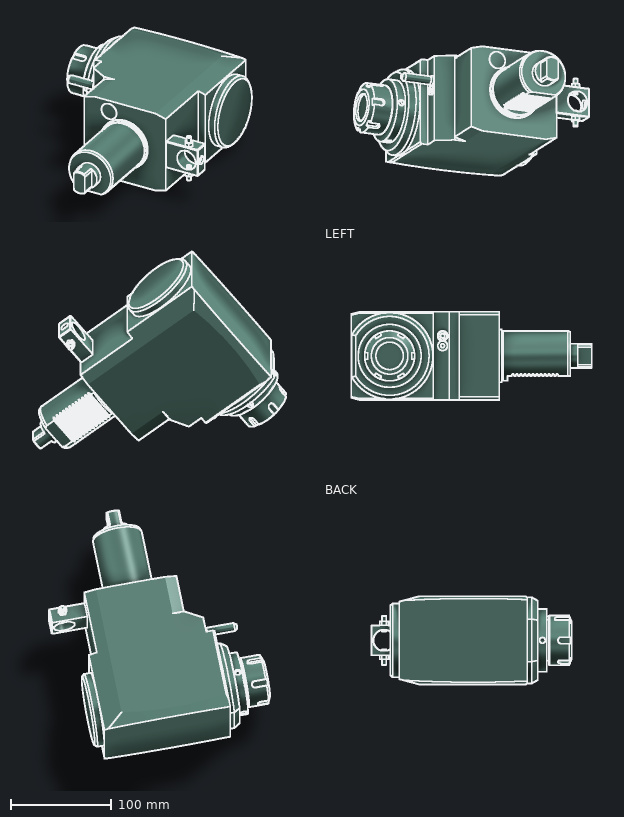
import cadquery as cq
import math


BODY_HEIGHT = 88.0
BODY_HALF_HEIGHT = BODY_HEIGHT / 2
BODY_BACK = 147.8
BODY_HALF_WIDTH = 46.8
HEAD_LEFT = -72.7
HEAD_RIGHT = 55.0
HEAD_START = 65.8
SHOULDER_LEFT = -64.3
SHOULDER_START = 50.2
FOOT_DEPTH = 40.0
BEVEL_ANGLE = math.radians(15)
BEVEL_WIDTH = 11.8
HEAD_EDGE_CHAMFER = 1.7
BACK_CONE_CENTER_X = -19.0
BACK_CONE_RADIUS = 312.0
BACK_CONE_MARGIN = 8.6
PLUG_X = -18.2
PLUG_Z = 31.7
PLUG_RADIUS = 8.6
PLUG_DEPTH = 0.2

SPINDLE_Y = 109.5
FLANGE_RADIUS = 43.2
FLANGE_LENGTH = 10.5
FLANGE_BEVEL_LENGTH = 6.2
FLANGE_BEVEL_DEPTH = 3.8
FLANGE_BACK_GAP = 0.7
RING_RADIUS = 31.5
RING_LENGTH = 9.0
RING_HOLE_RADIUS = 3.0
RING_HOLE_DEPTH = 4.8
RING_HOLE_TIP = 1.7
RING_HOLE_COUNT = 4
NECK_RADIUS = 20.5
NUT_RADIUS = 25.0
NUT_FACE_RADIUS = 18.2
NUT_FACE_X = -117.0
NUT_BACK_X = -93.8
NUT_FRONT_BEVEL = 3.0
NUT_BACK_CHAMFER = 1.0
COLLET_RADIUS = 13.7
COLLET_DEPTH = 2.5
NUT_SLOT_WIDTH = 6.5
NUT_SLOT_FLOOR = 21.8
NUT_SLOT_LONG = 17.3
NUT_SLOT_SHORT = 14.0
NUT_SLOT_COUNT = 6
HUB_RADIUS = 37.0
HUB_LENGTH = 9.0
HUB_CHAMFER = 2.5

COLLAR_RADIUS = 26.5
COLLAR_LENGTH = 2.5
RELIEF_RADIUS = 24.5
RELIEF_END = 3.5
SHANK_RADIUS = 25.0
SHANK_END = 70.8
SHANK_CHAMFER = 1.0
SHANK_CHAMFER_LENGTH = 3.0
FLAT_START = 8.2
FLAT_OFFSET = 20.2
TOOTH_PITCH = 12 / 3
TOOTH_COUNT = 12
FIRST_TOOTH = 13.5
TOOTH_MOUTH = 2.6
TOOTH_FLOOR = 1.08
TOOTH_DEPTH = 2.0
STUB_RADIUS = 12.2
STUB_END = 78.0
TANG_HALF_WIDTH = 6.5
TANG_END = 92.2
TANG_CHAMFER = 0.7
TANG_FLAT_HALF_HEIGHT = 8.6
TANG_BREAK_HALF_WIDTH = 5.3

PIN_Y = 56.6
PIN_Z = 20.0
PIN_DIAMETER = 8.5
PIN_RADIUS = PIN_DIAMETER / 2
PIN_LENGTH = 33.0
PIN_TIP_LENGTH = 3.0
PIN_TIP_RADIUS = 2.2
PIN_BASE_RADIUS = 5.0
PIN_BASE_LENGTH = 2.5
SCREW_Z = 10.0
SCREW_RADIUS = 4.8
SCREW_HEIGHT = 1.0
SCREW_SOCKET_RADIUS = 2.0

BRACKET_END = 83.0
BRACKET_FRONT = 0.7
BRACKET_BACK = 15.8
BRACKET_HEIGHT = 30.0
BRACKET_HALF_HEIGHT = BRACKET_HEIGHT / 2
BRACKET_CHAMFER = 0.7
BRACKET_HOLE_X = 70.0
BRACKET_HOLE_RADIUS = 10.5
SIDE_HOLE_RADIUS = 4.3
STUD_Y = 5.8
STUD_RADIUS = 2.28
STUD_INNER_Z = 8.6
STUD_OUTER_Z = 24.7
STUD_CHAMFER = 0.5
STUD_NUT_WIDTH = 9.0
STUD_NUT_HEIGHT = 3.8


def turned(origin, axis, stations):
    """Solid of revolution from (distance along axis, radius) stations."""
    plane = cq.Plane(origin=origin, xDir=axis, normal=(0, 0, 1))
    points = list(stations)
    if points[0][1] > 0:
        points.insert(0, (points[0][0], 0))
    points.append((points[-1][0], 0))
    outline = cq.Workplane(plane).polyline(points).close()
    return outline.revolve(360, (0, 0, 0), (1, 0, 0))


def box(x0, x1, y0, y1, z0, z1):
    """Axis-aligned box between two corners."""
    return cq.Workplane("XY").box(x1 - x0, y1 - y0, z1 - z0, centered=False).translate((x0, y0, z0))


def beveled_band(x0, x1, y0, y1, bevel_left=False):
    """Block along Y whose top and bottom slope down on the right and optionally on the left."""
    drop = BEVEL_WIDTH * math.tan(BEVEL_ANGLE)
    run_out = (x1 - BODY_HALF_WIDTH + BEVEL_WIDTH) * math.tan(BEVEL_ANGLE)
    half = BODY_HALF_HEIGHT
    top = [(x0, half)]
    if bevel_left:
        top = [(x0, half - drop), (x0 + BEVEL_WIDTH, half)]
    top += [(BODY_HALF_WIDTH - BEVEL_WIDTH, half), (x1, half - run_out)]
    bottom = [(x, -z) for x, z in reversed(top)]
    section = cq.Workplane("XZ").polyline(top + bottom).close()
    return section.extrude(-(y1 - y0)).translate((0, y0, 0))


def make_body():
    foot = beveled_band(-BODY_HALF_WIDTH, BODY_HALF_WIDTH, 0, FOOT_DEPTH, bevel_left=True)
    middle = beveled_band(SHOULDER_LEFT, BODY_HALF_WIDTH, FOOT_DEPTH, HEAD_START)
    shoulder_cut = (
        cq.Workplane("XY")
        .polyline([
            (SHOULDER_LEFT, FOOT_DEPTH),
            (-BODY_HALF_WIDTH, FOOT_DEPTH),
            (SHOULDER_LEFT, SHOULDER_START),
        ])
        .close()
        .extrude(BODY_HALF_HEIGHT, both=True)
    )
    head = beveled_band(HEAD_LEFT, HEAD_RIGHT, HEAD_START, BODY_BACK)
    head = head.faces("<X").edges("|Y").chamfer(HEAD_EDGE_CHAMFER)

    cone_base = BACK_CONE_RADIUS + BODY_HALF_HEIGHT / math.tan(BEVEL_ANGLE)
    center_y = BODY_BACK - BACK_CONE_MARGIN - BACK_CONE_RADIUS
    double_cone = (
        cq.Workplane("XZ")
        .polyline([
            (0, BODY_HALF_HEIGHT),
            (BACK_CONE_RADIUS, BODY_HALF_HEIGHT),
            (cone_base, 0),
            (BACK_CONE_RADIUS, -BODY_HALF_HEIGHT),
            (0, -BODY_HALF_HEIGHT),
        ])
        .close()
        .revolve(360, (0, 0, 0), (0, 1, 0))
        .translate((BACK_CONE_CENTER_X, center_y, 0))
    )
    plug_recess = turned((PLUG_X, 0, PLUG_Z), (0, 1, 0), [(0, PLUG_RADIUS), (PLUG_DEPTH, PLUG_RADIUS)])
    return foot.union(middle.cut(shoulder_cut)).union(head.intersect(double_cone)).cut(plug_recess)


def make_flange():
    """Round flange with a flat towards the back, beveled all around its outer rim."""
    rim_x = HEAD_LEFT - FLANGE_LENGTH + FLANGE_BEVEL_LENGTH
    flange = turned(
        (0, SPINDLE_Y, 0),
        (1, 0, 0),
        [
            (HEAD_LEFT - FLANGE_LENGTH, FLANGE_RADIUS - FLANGE_BEVEL_DEPTH),
            (rim_x, FLANGE_RADIUS),
            (HEAD_LEFT, FLANGE_RADIUS),
        ],
    )
    flat_y = BODY_BACK - FLANGE_BACK_GAP
    keep = (
        cq.Workplane("XY")
        .polyline([
            (HEAD_LEFT - FLANGE_LENGTH, flat_y - FLANGE_BEVEL_DEPTH),
            (rim_x, flat_y),
            (HEAD_LEFT, flat_y),
            (HEAD_LEFT, SPINDLE_Y - FLANGE_RADIUS),
            (HEAD_LEFT - FLANGE_LENGTH, SPINDLE_Y - FLANGE_RADIUS),
        ])
        .close()
        .extrude(FLANGE_RADIUS, both=True)
    )
    return flange.intersect(keep)


def make_ring():
    back = HEAD_LEFT - FLANGE_LENGTH
    front = back - RING_LENGTH
    ring = turned((0, SPINDLE_Y, 0), (1, 0, 0), [(front, RING_RADIUS), (back, RING_RADIUS)])
    hole = turned(
        ((front + back) / 2, SPINDLE_Y, 0),
        (0, 1, 0),
        [
            (RING_RADIUS - RING_HOLE_DEPTH - RING_HOLE_TIP, 0),
            (RING_RADIUS - RING_HOLE_DEPTH, RING_HOLE_RADIUS),
            (RING_RADIUS, RING_HOLE_RADIUS),
        ],
    )
    for i in range(RING_HOLE_COUNT):
        angle = i * 360 / RING_HOLE_COUNT
        ring = ring.cut(hole.rotate((0, SPINDLE_Y, 0), (1, SPINDLE_Y, 0), angle))
    return ring


def nut_slot(length):
    """Cutter for a flat-floored slot with a round end, on the +Y side of the nut."""
    half = NUT_SLOT_WIDTH / 2
    end_x = NUT_FACE_X + length
    return (
        cq.Workplane("XZ")
        .moveTo(NUT_FACE_X, -half)
        .lineTo(end_x - half, -half)
        .threePointArc((end_x, 0), (end_x - half, half))
        .lineTo(NUT_FACE_X, half)
        .close()
        .extrude(-NUT_RADIUS)
        .translate((0, SPINDLE_Y + NUT_SLOT_FLOOR, 0))
    )


def make_nut():
    nut = turned(
        (0, SPINDLE_Y, 0),
        (1, 0, 0),
        [
            (NUT_FACE_X, NUT_FACE_RADIUS),
            (NUT_FACE_X + NUT_FRONT_BEVEL, NUT_RADIUS),
            (NUT_BACK_X - NUT_BACK_CHAMFER, NUT_RADIUS),
            (NUT_BACK_X, NUT_RADIUS - NUT_BACK_CHAMFER),
        ],
    )
    neck_end = HEAD_LEFT - FLANGE_LENGTH
    neck = turned((0, SPINDLE_Y, 0), (1, 0, 0), [(NUT_BACK_X, NECK_RADIUS), (neck_end, NECK_RADIUS)])
    collet = turned(
        (NUT_FACE_X, SPINDLE_Y, 0), (1, 0, 0), [(0, COLLET_RADIUS), (COLLET_DEPTH, COLLET_RADIUS)]
    )
    for i in range(NUT_SLOT_COUNT):
        angle = i * 360 / NUT_SLOT_COUNT
        is_upper = 0 < angle < 180
        slot = nut_slot(NUT_SLOT_LONG if is_upper else NUT_SLOT_SHORT)
        nut = nut.cut(slot.rotate((0, SPINDLE_Y, 0), (1, SPINDLE_Y, 0), angle))
    return nut.cut(collet).union(neck)


def make_hub():
    return turned(
        (HEAD_RIGHT, SPINDLE_Y, 0),
        (1, 0, 0),
        [
            (0, HUB_RADIUS),
            (HUB_LENGTH - HUB_CHAMFER, HUB_RADIUS),
            (HUB_LENGTH, HUB_RADIUS - HUB_CHAMFER),
        ],
    )


def make_shank():
    shank = turned(
        (0, 0, 0),
        (0, -1, 0),
        [
            (0, COLLAR_RADIUS),
            (COLLAR_LENGTH, COLLAR_RADIUS),
            (COLLAR_LENGTH, RELIEF_RADIUS),
            (RELIEF_END, RELIEF_RADIUS),
            (RELIEF_END, SHANK_RADIUS),
            (SHANK_END - SHANK_CHAMFER_LENGTH, SHANK_RADIUS),
            (SHANK_END, SHANK_RADIUS - SHANK_CHAMFER),
        ],
    )
    flat_cut = box(-SHANK_RADIUS, SHANK_RADIUS, -SHANK_END, -FLAT_START, -SHANK_RADIUS, -FLAT_OFFSET)
    shank = shank.cut(flat_cut)

    for i in range(TOOTH_COUNT):
        y = -(FIRST_TOOTH + i * TOOTH_PITCH)
        groove = (
            cq.Workplane("YZ")
            .polyline([
                (y - TOOTH_MOUTH / 2, -FLAT_OFFSET),
                (y - TOOTH_FLOOR / 2, TOOTH_DEPTH - FLAT_OFFSET),
                (y + TOOTH_FLOOR / 2, TOOTH_DEPTH - FLAT_OFFSET),
                (y + TOOTH_MOUTH / 2, -FLAT_OFFSET),
            ])
            .close()
            .extrude(SHANK_RADIUS, both=True)
        )
        shank = shank.cut(groove)
    return shank


def make_drive_tang():
    stub = turned((0, 0, 0), (0, -1, 0), [(SHANK_END, STUB_RADIUS), (STUB_END, STUB_RADIUS)])
    rod = turned(
        (0, 0, 0),
        (0, -1, 0),
        [
            (STUB_END, STUB_RADIUS),
            (TANG_END - TANG_CHAMFER, STUB_RADIUS),
            (TANG_END, STUB_RADIUS - TANG_CHAMFER),
        ],
    )
    right_side = [
        (TANG_BREAK_HALF_WIDTH, STUB_RADIUS),
        (TANG_BREAK_HALF_WIDTH, math.sqrt(STUB_RADIUS**2 - TANG_BREAK_HALF_WIDTH**2)),
        (TANG_HALF_WIDTH, TANG_FLAT_HALF_HEIGHT),
    ]
    right_side += [(x, -z) for x, z in reversed(right_side)]
    left_side = [(-x, -z) for x, z in right_side]
    bar = cq.Workplane("XZ").polyline(right_side + left_side).close().extrude(TANG_END)
    return stub.union(rod.intersect(bar))


def make_coolant_pin():
    pin = turned(
        (SHOULDER_LEFT, PIN_Y, PIN_Z),
        (-1, 0, 0),
        [
            (0, PIN_BASE_RADIUS),
            (PIN_BASE_LENGTH, PIN_RADIUS),
            (PIN_LENGTH - PIN_TIP_LENGTH, PIN_RADIUS),
            (PIN_LENGTH, PIN_TIP_RADIUS),
        ],
    )
    screw = (
        cq.Workplane("YZ", origin=(SHOULDER_LEFT, PIN_Y, SCREW_Z))
        .circle(SCREW_RADIUS)
        .circle(SCREW_SOCKET_RADIUS)
        .extrude(-SCREW_HEIGHT)
    )
    return pin.union(screw)


def make_bracket():
    mid_y = (BRACKET_FRONT + BRACKET_BACK) / 2
    block = box(
        BODY_HALF_WIDTH, BRACKET_END, BRACKET_FRONT, BRACKET_BACK, -BRACKET_HALF_HEIGHT, BRACKET_HALF_HEIGHT
    )
    block = block.edges(">X or (<Y and |X)").chamfer(BRACKET_CHAMFER)
    pipe_hole = turned(
        (BRACKET_HOLE_X, 0, 0),
        (0, 1, 0),
        [(BRACKET_FRONT, BRACKET_HOLE_RADIUS), (BRACKET_BACK, BRACKET_HOLE_RADIUS)],
    )
    side_hole = turned(
        (0, mid_y, 0), (1, 0, 0), [(BRACKET_HOLE_X, SIDE_HOLE_RADIUS), (BRACKET_END, SIDE_HOLE_RADIUS)]
    )
    bracket = block.cut(pipe_hole).cut(side_hole)

    stud = (
        cq.Workplane("XY", origin=(BRACKET_HOLE_X, STUD_Y, STUD_INNER_Z))
        .circle(STUD_RADIUS)
        .extrude(STUD_OUTER_Z - STUD_INNER_Z)
        .edges()
        .chamfer(STUD_CHAMFER)
    )
    lock_nut = (
        cq.Workplane("XY", origin=(BRACKET_HOLE_X, STUD_Y, BRACKET_HALF_HEIGHT))
        .polygon(6, STUD_NUT_WIDTH)
        .extrude(STUD_NUT_HEIGHT)
    )
    fastener = stud.union(lock_nut)
    return bracket.union(fastener).union(fastener.mirror("XY"))


result = make_body()
for piece in (
    make_flange(),
    make_ring(),
    make_nut(),
    make_hub(),
    make_shank(),
    make_drive_tang(),
    make_coolant_pin(),
    make_bracket(),
):
    result = result.union(piece)